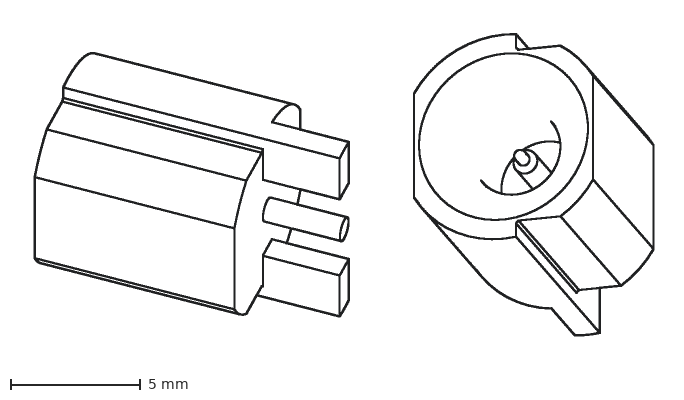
import cadquery as cq
import math

total_length = 11.4
body_length = 8.23
outer_radius = 4.18
side_half_width = 3.6

key_step_y = -0.5
key_half_height = 3.5
key_bevel = 0.1

leg_half_width = -key_step_y
leg_inner_z = 2.0

mouth_radius = 3.4
bore_radius = 1.77
throat_round = 0.5
bore_depth = 5.7

pin_radius = 0.48
pin_tip_radius = 0.24
pin_tip_x = 2.05
pin_neck_length = 0.46
pin_taper_length = pin_radius - pin_tip_radius


def x_extrusion(radius, start, end):
    """Solid cylinder on the X axis between two stations."""
    return cq.Workplane("YZ", origin=(start, 0, 0)).circle(radius).extrude(end - start)


def key_cut(side):
    """Material removed beside the step; side is 1 for the top, -1 for the bottom."""
    outside = 2 * outer_radius
    return (
        cq.Workplane("YZ")
        .moveTo(key_step_y, side * outside)
        .lineTo(key_step_y, side * (key_half_height + key_bevel))
        .lineTo(key_step_y - key_bevel, side * key_half_height)
        .lineTo(-outside, side * key_half_height)
        .lineTo(-outside, side * outside)
        .close()
        .extrude(total_length)
    )


def leg(side):
    """Leg behind the body, rounded outside to match the body."""
    height = outer_radius - leg_inner_z
    middle_z = side * (outer_radius + leg_inner_z) / 2
    blank = cq.Workplane("XY").box(total_length - body_length, 2 * leg_half_width, height)
    blank = blank.translate(((total_length + body_length) / 2, 0, middle_z))
    return blank.intersect(x_extrusion(outer_radius, body_length, total_length))


def socket():
    """Revolved cutter with a rounded edge between the mouth cone and the bore."""
    cone_depth = mouth_radius - bore_radius
    tangent_length = throat_round * math.tan(math.radians(22.5))
    diagonal = tangent_length * math.sqrt(0.5)
    arc_center_x = cone_depth + tangent_length
    arc_center_r = bore_radius + throat_round
    arc_middle = (
        arc_center_x - throat_round * math.sin(math.radians(22.5)),
        arc_center_r - throat_round * math.cos(math.radians(22.5)),
    )
    return (
        cq.Workplane("XY")
        .moveTo(0, 0)
        .lineTo(0, mouth_radius)
        .lineTo(cone_depth - diagonal, bore_radius + diagonal)
        .threePointArc(arc_middle, (arc_center_x, bore_radius))
        .lineTo(bore_depth, bore_radius)
        .lineTo(bore_depth, 0)
        .close()
        .revolve(360, (0, 0, 0), (1, 0, 0))
    )


def pin():
    """Pin with a hemispherical tip, a thin neck and a 45 degree taper."""
    tip_base_x = pin_tip_x + pin_tip_radius
    neck_end_x = tip_base_x + pin_neck_length
    arc_offset = pin_tip_radius * math.sqrt(0.5)
    return (
        cq.Workplane("XY")
        .moveTo(pin_tip_x, 0)
        .threePointArc((tip_base_x - arc_offset, arc_offset), (tip_base_x, pin_tip_radius))
        .lineTo(neck_end_x, pin_tip_radius)
        .lineTo(neck_end_x + pin_taper_length, pin_radius)
        .lineTo(total_length, pin_radius)
        .lineTo(total_length, 0)
        .close()
        .revolve(360, (0, 0, 0), (1, 0, 0))
    )


body = x_extrusion(outer_radius, 0, body_length)
side_limits = cq.Workplane("XY").box(2 * total_length, 2 * side_half_width, 2 * total_length)
body = body.intersect(side_limits)

for side in (1, -1):
    body = body.cut(key_cut(side)).union(leg(side))

result = body.cut(socket()).union(pin())